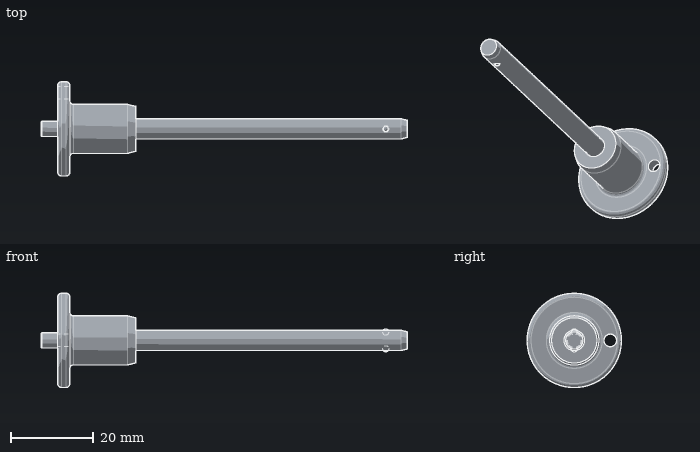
import cadquery as cq

overall_length = 89.0
button_stick_out = 4.0
flange_thickness = 3.0
handle_end = 23.0

button_diameter = 3.8
button_chamfer = 0.2

flange_diameter = 23.0
flange_edge_radius = 1.0
sleeve_diameter = 12.0
sleeve_root_radius = 0.8
sleeve_taper_length = 2.0
sleeve_end_diameter = 11.0
lanyard_hole_diameter = 3.0
lanyard_hole_offset = 8.75

shank_diameter = 5.0
tip_taper_length = 1.5
tip_diameter = 4.2

ball_diameter = 1.5
ball_protrusion = 0.3
ball_to_tip = 5.25

flange_start = button_stick_out
flange_end = flange_start + flange_thickness
sleeve_taper_start = handle_end - sleeve_taper_length
tip_taper_start = overall_length - tip_taper_length
ball_x = overall_length - ball_to_tip
ball_center_height = shank_diameter / 2 + ball_protrusion - ball_diameter / 2


def rod(start, end, diameter):
    """Round bar along X."""
    return cq.Workplane("YZ", origin=(start, 0, 0)).circle(diameter / 2).extrude(end - start)


def ball(side):
    """Locking ball on the top (side = 1) or bottom (side = -1) of the shank."""
    return cq.Workplane("XY", origin=(ball_x, 0, side * ball_center_height)).sphere(ball_diameter / 2)


def make_pin_body():
    """Handle, shank and button turned as one piece, with the lanyard hole and ball seats."""
    flange_radius = flange_diameter / 2
    shank_radius = shank_diameter / 2
    button_radius = button_diameter / 2
    sleeve_radius = sleeve_diameter / 2
    outline = (
        cq.Workplane("XZ")
        .moveTo(0, 0)
        .lineTo(0, button_radius - button_chamfer)
        .lineTo(button_chamfer, button_radius)
        .lineTo(flange_start, button_radius)
        .lineTo(flange_start, flange_radius - flange_edge_radius)
        .radiusArc((flange_start + flange_edge_radius, flange_radius), flange_edge_radius)
        .lineTo(flange_end - flange_edge_radius, flange_radius)
        .radiusArc((flange_end, flange_radius - flange_edge_radius), flange_edge_radius)
        .lineTo(flange_end, sleeve_radius + sleeve_root_radius)
        .radiusArc((flange_end + sleeve_root_radius, sleeve_radius), -sleeve_root_radius)
        .lineTo(sleeve_taper_start, sleeve_radius)
        .lineTo(handle_end, sleeve_end_diameter / 2)
        .lineTo(handle_end, shank_radius)
        .lineTo(tip_taper_start, shank_radius)
        .lineTo(overall_length, tip_diameter / 2)
        .lineTo(overall_length, 0)
        .close()
    )
    body = outline.revolve(360, (0, 0, 0), (1, 0, 0))
    lanyard_hole = rod(flange_start, flange_end, lanyard_hole_diameter).translate((0, lanyard_hole_offset, 0))
    body = body.cut(lanyard_hole)
    for side in (1, -1):
        body = body.cut(ball(side))
    return body


pin_body = make_pin_body()
balls = [ball(side) for side in (1, -1)]

result = cq.Compound.makeCompound([pin_body.val(), *[b.val() for b in balls]])